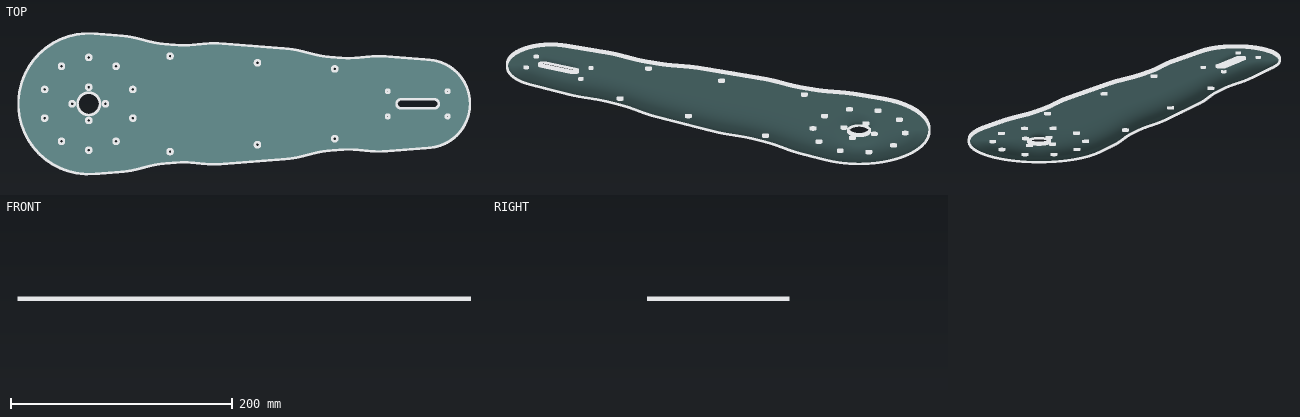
import math

import cadquery as cq

THICKNESS = 2.0
HUB_END_RADIUS = 63.7
TOTAL_LENGTH = 408.1
TIP_END_RADIUS = 40.0
TIP_X = TOTAL_LENGTH - HUB_END_RADIUS - TIP_END_RADIUS
TAPER = math.asin((HUB_END_RADIUS - TIP_END_RADIUS) / TIP_X)

FLANK_HOLE_POSITIONS = (69.8, 149.0, 219.0)
FLANK_HOLE_INSET = 15.0
SCALLOP_POSITIONS = (FLANK_HOLE_POSITIONS[0], FLANK_HOLE_POSITIONS[2])

SCALLOP_DEPTH = 4.5
SCALLOP_MOUTH_WIDTH = 76.0
SCALLOP_FLOOR_WIDTH = 25.0
SCALLOP_ROUNDING = 85.0

BORE_DIAMETER = 20.0
SCREW_HOLE_DIAMETER = 4.5
INNER_RING_RADIUS = 15.0
INNER_RING_COUNT = 4
OUTER_RING_RADIUS = 41.9
OUTER_RING_COUNT = 10

SLOT_X = 297.0
SLOT_LENGTH = 38.0
SLOT_WIDTH = 8.0
TIP_HOLE_DIAMETER = 3.1
TIP_HOLE_SPACING_X = 54.0
TIP_HOLE_SPACING_Y = 22.7

SIDES = (1, -1)
RING_START_ANGLE = 90
FULL_TURN = 360


def flank_point(position, inset, side):
    """Point at a distance along one flank, moved inwards from its straight line."""
    reach = HUB_END_RADIUS - inset
    x = position * math.cos(TAPER) + reach * math.sin(TAPER)
    y = reach * math.cos(TAPER) - position * math.sin(TAPER)
    return (x, side * y)


def scallop_corners(center, side):
    """Four corners of a scallop, in order from the hub to the tip."""
    half_mouth = SCALLOP_MOUTH_WIDTH / 2
    half_floor = SCALLOP_FLOOR_WIDTH / 2
    return [
        flank_point(center - half_mouth, 0, side),
        flank_point(center - half_floor, SCALLOP_DEPTH, side),
        flank_point(center + half_floor, SCALLOP_DEPTH, side),
        flank_point(center + half_mouth, 0, side),
    ]


def flank_corners(side):
    """All scallop corners of one flank, in order from the hub to the tip."""
    return [corner for center in SCALLOP_POSITIONS for corner in scallop_corners(center, side)]


def make_plate():
    flank_length = TIP_X * math.cos(TAPER)
    upper, lower = SIDES
    outline = cq.Workplane("XY").moveTo(*flank_point(0, 0, upper))
    for corner in flank_corners(upper):
        outline = outline.lineTo(*corner)
    outline = outline.lineTo(*flank_point(flank_length, 0, upper))
    outline = outline.threePointArc((TIP_X + TIP_END_RADIUS, 0), flank_point(flank_length, 0, lower))
    for corner in reversed(flank_corners(lower)):
        outline = outline.lineTo(*corner)
    outline = outline.lineTo(*flank_point(0, 0, lower))
    outline = outline.threePointArc((-HUB_END_RADIUS, 0), flank_point(0, 0, upper))
    return outline.close().extrude(THICKNESS)


def round_scallops(plate):
    for side in SIDES:
        for x, y in flank_corners(side):
            corner_edge = cq.selectors.NearestToPointSelector((x, y, THICKNESS / 2))
            plate = plate.edges("|Z").edges(corner_edge).fillet(SCALLOP_ROUNDING)
    return plate


def cut_hub_holes(plate):
    plate = plate.cut(cq.Workplane("XY").circle(BORE_DIAMETER / 2).extrude(THICKNESS))
    rings = ((INNER_RING_RADIUS, INNER_RING_COUNT), (OUTER_RING_RADIUS, OUTER_RING_COUNT))
    for radius, count in rings:
        ring = cq.Workplane("XY").polarArray(radius, RING_START_ANGLE, FULL_TURN, count)
        plate = plate.cut(ring.circle(SCREW_HOLE_DIAMETER / 2).extrude(THICKNESS))
    return plate


def cut_flank_holes(plate):
    centers = [flank_point(place, FLANK_HOLE_INSET, side) for side in SIDES for place in FLANK_HOLE_POSITIONS]
    holes = cq.Workplane("XY").pushPoints(centers).circle(SCREW_HOLE_DIAMETER / 2)
    return plate.cut(holes.extrude(THICKNESS))


def cut_tip_slot(plate):
    tip_plane = cq.Workplane("XY").center(SLOT_X, 0)
    slot = tip_plane.slot2D(SLOT_LENGTH, SLOT_WIDTH).extrude(THICKNESS)
    hole_centers = tip_plane.rarray(TIP_HOLE_SPACING_X, TIP_HOLE_SPACING_Y, 2, 2)
    holes = hole_centers.circle(TIP_HOLE_DIAMETER / 2).extrude(THICKNESS)
    return plate.cut(slot).cut(holes)


result = make_plate()
result = round_scallops(result)
result = cut_hub_holes(result)
result = cut_flank_holes(result)
result = cut_tip_slot(result)